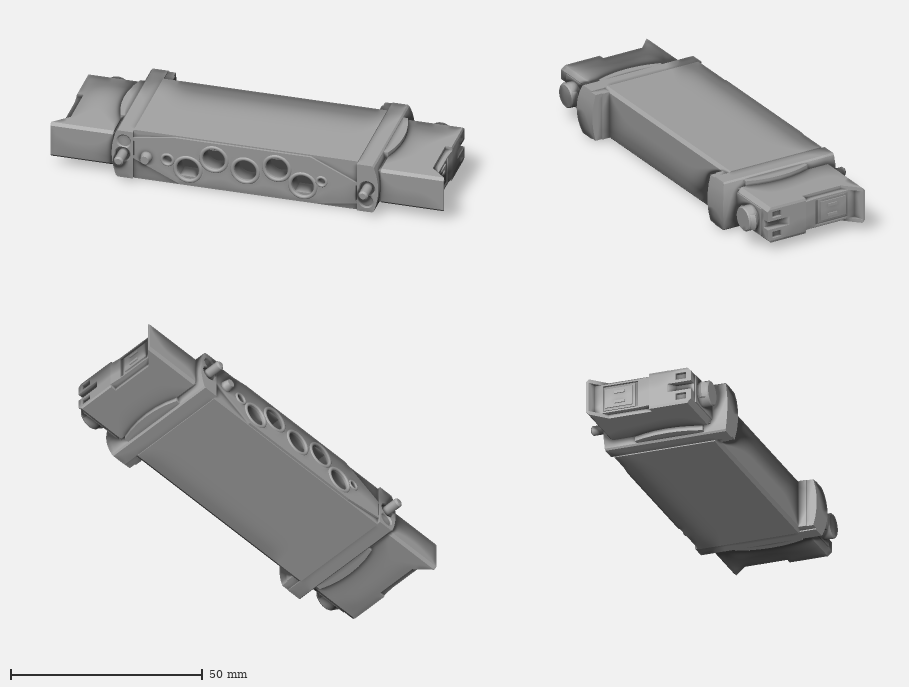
import cadquery as cq

OVERALL_LENGTH = 107.0

HOUSING_LENGTH = 61.0
HOUSING_HEIGHT = 14.4
HOUSING_FRONT = 1.0
HOUSING_BACK = 29.9
HOUSING_BACK_CHAMFER = 0.9

GASKET_THICKNESS = 0.6
GASKET_HALF_HEIGHT = 6.8
GASKET_FRONT = HOUSING_FRONT - GASKET_THICKNESS
GASKET_HALF_LENGTH = HOUSING_LENGTH / 2
GASKET_STEEP_CORNER = (17.8, 1.0)
GASKET_FLAT_CORNER = (19.3, 5.1)
GASKET_NOTCH_DEPTH = 0.4
GASKET_NOTCH_BOTTOM = -0.3
GASKET_NOTCH_TOP = 4.3

PORT_OUTER_X = 15.6
PORT_INNER_X = 8.6
PORT_OFFSET_Z = 2.0
PORTS = [
    (-PORT_OUTER_X, -PORT_OFFSET_Z),
    (-PORT_INNER_X, PORT_OFFSET_Z),
    (0, 0),
    (PORT_INNER_X, PORT_OFFSET_Z),
    (PORT_OUTER_X, -PORT_OFFSET_Z),
]
PORT_DIAMETER = 6.0
PORT_BORE_DIAMETER = 6.5
PORT_LIP_DIAMETER = 8.0
PORT_DEPTH = 5.4
PORT_HALF_HEIGHT = 4.4
PILOT_DEPTH = 3.2
LEFT_PILOT_X = -21.2
LEFT_PILOT_DIAMETER = 2.2
LEFT_PILOT_LIP_DIAMETER = 3.9
RIGHT_PILOT_X = 20.8
RIGHT_PILOT_DIAMETER = 1.8
RIGHT_PILOT_LIP_DIAMETER = 3.3
LIP_HEIGHT = 0.3

LOCATING_PIN_X = -26.9
LOCATING_PIN_BASE = 3.2
LOCATING_PIN_TIP = 2.2
LOCATING_PIN_END = -1.7

HEAD_HEIGHT = 13.9
HEAD_OUTER_X = 36.3
HEAD_EDGE_X = 35.1
HEAD_EDGE_CHAMFER = 0.4
HEAD_BACK = 34.9
HEAD_EDGE_BACK = 33.8
EAR_INNER_X = 28.5
EAR_HALF_HEIGHT = 6.6
EAR_STEP_X = 28.1
EAR_STEP_BACK = 32.0

SCREW_X = 33.3
SCREW_DIAMETER = 2.6
SCREW_TIP = -4.3
SCREW_TOP = HOUSING_BACK
SCREW_TIP_CHAMFER = 0.4
SCREW_RECESS_DIAMETER = 3.9
SCREW_RECESS_DEPTH = 1.1
RECESS_CHAMFER = 0.3

PLUG_X = 33.0
PLUG_Z = 3.9
PLUG_MOUTH_DIAMETER = 4.1
PLUG_FLOOR_DIAMETER = 3.2
PLUG_DEPTH = 0.4

BULGE_HALF_HEIGHT = 6.4
BULGE_FRONT = 9.0
BULGE_BACK = 27.9
BULGE_EDGE_X = 36.4
BULGE_CROWN_X = 38.1

BOX_HEIGHT = 10.2
BOX_HALF_HEIGHT = BOX_HEIGHT / 2
BOX_FRONT = 1.9
BOX_BACK = 30.4
BOX_END_X = 51.1
END_BEVEL_DEPTH = 0.2
END_BEVEL_HEIGHT = 0.6
BOX_INNER_X = 36.4
NECK_INSET = 0.4
BOX_FRONT_CHAMFER = 0.7
BOX_BACK_CHAMFER = 1.1
LIP_TIP_X = OVERALL_LENGTH / 2
LIP_EDGE_BACK = 2.6
SLOPE_BACK = 6.6
NOTCH_X = 49.2
NOTCH_BACK = 18.6
NOTCH_HALF_GAP = 4.1
PANEL_X = 50.8
PANEL_FRONT = 3.4

WINDOW_FRONT = 5.6
WINDOW_BACK = 15.4
WINDOW_HALF_HEIGHT = 3.6
WINDOW_DEPTH = 0.6
FRAME_BACK = 14.4
FRAME_HALF_HEIGHT = 3.3
FRAME_HEIGHT = 0.3
BUTTON_FRONT = 6.1
BUTTON_BACK = 13.8
BUTTON_HALF_HEIGHT = 2.7
BAR_FRONT = 8.9
BAR_BACK = 11.8
BAR_Z = 1.4
BAR_HEIGHT = 0.7
POCKET_FRONT = 26.1
POCKET_BACK = 29.0
POCKET_Z = 2.9
POCKET_HEIGHT = 1.8
POCKET_DEPTH = 1.1
CHANNEL_HALF_HEIGHT = 1.2
CHANNEL_DEPTH = 2.1
CHANNEL_FLOOR_FRONT = 25.7
CHANNEL_MOUTH_FRONT = 23.6

KNOB_X = 44.0
KNOB_DIAMETER = 6.7
KNOB_TOP = 33.6
KNOB_CHAMFER = 0.3
LUG_DIAMETER = 8.1
LUG_FOOT_Y = 30.9
LUG_CREST_Y = 32.0
LUG_TOP_Y = 33.1
LUG_HALF_WIDTH = 2.1
PAD_BACK = 30.7
PAD_OUTER_X = 48.2
PAD_HALF_HEIGHT = 3.9


def block(x0, x1, y0, y1, z0, z1):
    """Box between two opposite corners."""
    return cq.Workplane("XY").box(x1 - x0, y1 - y0, z1 - z0, centered=False).translate((x0, y0, z0))


def rod(x, z, diameter, y0, y1):
    """Cylinder along Y."""
    return cq.Workplane("XZ", origin=(x, y0, z)).circle(diameter / 2).extrude(y0 - y1)


def cone(x, z, diameter0, y0, diameter1, y1):
    """Cone frustum along Y, from diameter0 at y0 to diameter1 at y1."""
    profile = [(0, y0), (diameter0 / 2, y0), (diameter1 / 2, y1), (0, y1)]
    return cq.Workplane("XY").polyline(profile).close().revolve(360, (0, 0), (0, 1)).translate((x, 0, z))


def make_head():
    """Left head: rounded toward -X and +Y, with an ear that reaches behind the housing."""
    half = HEAD_HEIGHT / 2
    edge_z = half - HEAD_EDGE_CHAMFER
    inner = HOUSING_LENGTH / 2
    end_round = (
        cq.Workplane("XZ")
        .moveTo(-EAR_STEP_X, -half)
        .lineTo(-HEAD_EDGE_X + HEAD_EDGE_CHAMFER, -half)
        .lineTo(-HEAD_EDGE_X, -edge_z)
        .threePointArc((-HEAD_OUTER_X, 0), (-HEAD_EDGE_X, edge_z))
        .lineTo(-HEAD_EDGE_X + HEAD_EDGE_CHAMFER, half)
        .lineTo(-EAR_STEP_X, half)
        .close()
        .extrude(-HEAD_BACK)
    )
    back_round = (
        cq.Workplane("YZ", origin=(-HEAD_OUTER_X, 0, 0))
        .moveTo(0, -half)
        .lineTo(HEAD_EDGE_BACK, -half)
        .threePointArc((HEAD_BACK, 0), (HEAD_EDGE_BACK, half))
        .lineTo(0, half)
        .close()
        .extrude(HEAD_OUTER_X)
    )
    column = block(-HEAD_OUTER_X, -inner, 0, HEAD_BACK, -half, half)
    ear = block(-inner, -EAR_INNER_X, HOUSING_BACK, HEAD_BACK, -EAR_HALF_HEIGHT, EAR_HALF_HEIGHT)
    step = block(-inner, -EAR_STEP_X, HOUSING_BACK, EAR_STEP_BACK, -EAR_HALF_HEIGHT, EAR_HALF_HEIGHT)
    return column.union(ear).union(step).intersect(end_round).intersect(back_round)


def make_bulge():
    """Crowned plate between the left head and its coil box."""
    return (
        cq.Workplane("XY", origin=(0, 0, -BULGE_HALF_HEIGHT))
        .moveTo(-HEAD_EDGE_X, BULGE_FRONT)
        .lineTo(-BULGE_EDGE_X, BULGE_FRONT)
        .threePointArc((-BULGE_CROWN_X, (BULGE_FRONT + BULGE_BACK) / 2), (-BULGE_EDGE_X, BULGE_BACK))
        .lineTo(-HEAD_EDGE_X, BULGE_BACK)
        .close()
        .extrude(2 * BULGE_HALF_HEIGHT)
    )


def make_knob():
    """Round knob with a pointed lug on its -X and +X sides."""
    body = rod(0, 0, KNOB_DIAMETER, BOX_BACK, KNOB_TOP).faces(">Y").chamfer(KNOB_CHAMFER)
    lug_profile = [
        (0, LUG_FOOT_Y),
        (KNOB_DIAMETER / 2, LUG_FOOT_Y),
        (LUG_DIAMETER / 2, LUG_CREST_Y),
        (KNOB_DIAMETER / 2, LUG_TOP_Y),
        (0, LUG_TOP_Y),
    ]
    lug_ring = cq.Workplane("XY").polyline(lug_profile).close().revolve(360, (0, 0), (0, 1))
    lug_width = block(
        -LUG_DIAMETER / 2, LUG_DIAMETER / 2, LUG_FOOT_Y, LUG_TOP_Y, -LUG_HALF_WIDTH, LUG_HALF_WIDTH
    )
    return body.union(lug_ring.intersect(lug_width)).translate((-KNOB_X, 0, 0))


def make_neck():
    """Slightly slimmer neck that joins the left coil box to the head."""
    half_height = BOX_HALF_HEIGHT - NECK_INSET
    return block(
        -BOX_INNER_X, -HEAD_EDGE_X, BOX_FRONT + NECK_INSET, BOX_BACK - NECK_INSET, -half_height, half_height
    )


def shape_panel(box):
    """Fill the middle of the end notch with the panel, clear the lip in front of it, and cut the window."""
    panel = block(-BOX_END_X, -NOTCH_X, LIP_EDGE_BACK, NOTCH_BACK, -NOTCH_HALF_GAP, NOTCH_HALF_GAP)
    clearance = (
        cq.Workplane("XY", origin=(0, 0, -NOTCH_HALF_GAP))
        .moveTo(-LIP_TIP_X, LIP_EDGE_BACK)
        .lineTo(-PANEL_X, PANEL_FRONT)
        .lineTo(-PANEL_X, WINDOW_BACK)
        .lineTo(-BOX_END_X, NOTCH_BACK)
        .lineTo(-LIP_TIP_X, NOTCH_BACK)
        .close()
        .extrude(2 * NOTCH_HALF_GAP)
    )
    floor_x = -PANEL_X + WINDOW_DEPTH
    window = block(-PANEL_X, floor_x, WINDOW_FRONT, WINDOW_BACK, -WINDOW_HALF_HEIGHT, WINDOW_HALF_HEIGHT)
    frame = block(
        floor_x - FRAME_HEIGHT, floor_x, WINDOW_FRONT, FRAME_BACK, -FRAME_HALF_HEIGHT, FRAME_HALF_HEIGHT
    )
    button = block(-PANEL_X, floor_x, BUTTON_FRONT, BUTTON_BACK, -BUTTON_HALF_HEIGHT, BUTTON_HALF_HEIGHT)
    return box.union(panel).cut(clearance).cut(window).union(frame).union(button)


def make_box():
    """Left coil box with its flared front lip, end panel details and knob."""
    outline = [
        (-BOX_INNER_X, BOX_FRONT),
        (-LIP_TIP_X, BOX_FRONT),
        (-LIP_TIP_X, LIP_EDGE_BACK),
        (-NOTCH_X, SLOPE_BACK),
        (-NOTCH_X, NOTCH_BACK),
        (-BOX_END_X, NOTCH_BACK),
        (-BOX_END_X, BOX_BACK),
        (-BOX_INNER_X, BOX_BACK),
    ]
    box = (
        cq.Workplane("XY", origin=(0, 0, -BOX_HALF_HEIGHT))
        .polyline(outline)
        .close()
        .extrude(BOX_HEIGHT)
    )
    box = box.faces("<Y").edges("|X").chamfer(BOX_FRONT_CHAMFER)
    box = box.faces(">Y").edges("|X").chamfer(BOX_BACK_CHAMFER)
    box = shape_panel(box)

    channel = (
        cq.Workplane("XY", origin=(0, 0, -CHANNEL_HALF_HEIGHT))
        .moveTo(-BOX_END_X, CHANNEL_MOUTH_FRONT)
        .lineTo(-BOX_END_X + CHANNEL_DEPTH, CHANNEL_FLOOR_FRONT)
        .lineTo(-BOX_END_X + CHANNEL_DEPTH, BOX_BACK)
        .lineTo(-BOX_END_X, BOX_BACK)
        .close()
        .extrude(2 * CHANNEL_HALF_HEIGHT)
    )
    box = box.cut(channel)
    for side in (-1, 1):
        bevel = (
            cq.Workplane("XZ", origin=(0, NOTCH_BACK, 0))
            .moveTo(-BOX_END_X, side * BOX_HALF_HEIGHT)
            .lineTo(-BOX_END_X + END_BEVEL_DEPTH, side * BOX_HALF_HEIGHT)
            .lineTo(-BOX_END_X, side * (BOX_HALF_HEIGHT - END_BEVEL_HEIGHT))
            .close()
            .extrude(NOTCH_BACK - BOX_BACK)
        )
        box = box.cut(bevel)
        bar_z = side * BAR_Z
        pocket_z = side * POCKET_Z
        box = box.union(
            block(-BOX_END_X, -PANEL_X, BAR_FRONT, BAR_BACK, bar_z - BAR_HEIGHT / 2, bar_z + BAR_HEIGHT / 2)
        )
        box = box.cut(
            block(
                -BOX_END_X,
                -BOX_END_X + POCKET_DEPTH,
                POCKET_FRONT,
                POCKET_BACK,
                pocket_z - POCKET_HEIGHT / 2,
                pocket_z + POCKET_HEIGHT / 2,
            )
        )
    pad = block(-PAD_OUTER_X, -BOX_INNER_X, BOX_BACK, PAD_BACK, -PAD_HALF_HEIGHT, PAD_HALF_HEIGHT)
    return box.union(make_neck()).union(pad).union(make_knob())


def make_left_end():
    """Head, bulge and coil box on the left, with the recesses in the mounting face of the head."""
    end = make_head().union(make_bulge()).union(make_box())
    end = end.cut(cone(-PLUG_X, PLUG_Z, PLUG_MOUTH_DIAMETER, 0, PLUG_FLOOR_DIAMETER, PLUG_DEPTH))
    end = end.cut(rod(-SCREW_X, 0, SCREW_RECESS_DIAMETER, 0, SCREW_RECESS_DEPTH))
    mouth = SCREW_RECESS_DIAMETER + 2 * RECESS_CHAMFER
    end = end.cut(cone(-SCREW_X, 0, mouth, 0, SCREW_RECESS_DIAMETER, RECESS_CHAMFER))
    return end.cut(rod(-SCREW_X, 0, SCREW_DIAMETER, 0, SCREW_TOP))


def make_housing():
    """Housing block with an identical end at each side, the port bores and the locating pin."""
    half_length = HOUSING_LENGTH / 2
    half_height = HOUSING_HEIGHT / 2
    housing = block(-half_length, half_length, HOUSING_FRONT, HOUSING_BACK, -half_height, half_height)
    housing = housing.faces(">Y").edges("|X").chamfer(HOUSING_BACK_CHAMFER)
    left_end = make_left_end()
    housing = housing.union(left_end).union(left_end.rotate((0, 0, 0), (0, 1, 0), 180))

    bore_end = GASKET_FRONT + PORT_DEPTH
    flats = block(-half_length, half_length, 0, bore_end, -PORT_HALF_HEIGHT, PORT_HALF_HEIGHT)
    for x, z in PORTS:
        housing = housing.cut(rod(x, z, PORT_BORE_DIAMETER, HOUSING_FRONT, bore_end).intersect(flats))
    for x, diameter in ((LEFT_PILOT_X, LEFT_PILOT_DIAMETER), (RIGHT_PILOT_X, RIGHT_PILOT_DIAMETER)):
        housing = housing.cut(rod(x, 0, diameter, HOUSING_FRONT, HOUSING_FRONT + PILOT_DEPTH))

    pin_root = rod(LOCATING_PIN_X, 0, LOCATING_PIN_BASE, GASKET_FRONT, HOUSING_FRONT)
    pin = cone(LOCATING_PIN_X, 0, LOCATING_PIN_BASE, GASKET_FRONT, LOCATING_PIN_TIP, LOCATING_PIN_END)
    return housing.union(pin_root).union(pin)


def make_lip(x, z, bore, outer):
    """Rounded ring that stands on the gasket around one opening."""
    lip = (
        cq.Workplane("XY")
        .moveTo(bore / 2, HOUSING_FRONT)
        .lineTo(bore / 2, GASKET_FRONT)
        .threePointArc(((bore + outer) / 4, GASKET_FRONT - LIP_HEIGHT), (outer / 2, GASKET_FRONT))
        .lineTo(outer / 2, HOUSING_FRONT)
        .close()
        .revolve(360, (0, 0), (0, 1))
    )
    return lip.translate((x, 0, z))


def make_gasket():
    """Gasket plate with slanted corners and a raised, rounded lip around each opening."""
    steep_x, steep_z = GASKET_STEEP_CORNER
    flat_x, flat_z = GASKET_FLAT_CORNER
    half_outline = [
        (-GASKET_HALF_LENGTH, -steep_z),
        (-GASKET_HALF_LENGTH, flat_z),
        (-flat_x, GASKET_HALF_HEIGHT),
        (steep_x, GASKET_HALF_HEIGHT),
    ]
    outline = half_outline + [(-x, -z) for x, z in half_outline]
    gasket = (
        cq.Workplane("XZ", origin=(0, HOUSING_FRONT, 0)).polyline(outline).close().extrude(GASKET_THICKNESS)
    )
    notch = block(
        -GASKET_HALF_LENGTH,
        -GASKET_HALF_LENGTH + GASKET_NOTCH_DEPTH,
        GASKET_FRONT,
        HOUSING_FRONT,
        GASKET_NOTCH_BOTTOM,
        GASKET_NOTCH_TOP,
    )
    gasket = gasket.cut(notch).cut(notch.rotate((0, 0, 0), (0, 1, 0), 180))

    openings = [(x, z, PORT_DIAMETER, PORT_LIP_DIAMETER) for x, z in PORTS]
    openings.append((LEFT_PILOT_X, 0, LEFT_PILOT_DIAMETER, LEFT_PILOT_LIP_DIAMETER))
    openings.append((RIGHT_PILOT_X, 0, RIGHT_PILOT_DIAMETER, RIGHT_PILOT_LIP_DIAMETER))
    for x, z, bore, lip in openings:
        gasket = gasket.union(make_lip(x, z, bore, lip))
    for x, z, bore, _ in openings:
        gasket = gasket.cut(rod(x, z, bore, GASKET_FRONT - LIP_HEIGHT, HOUSING_FRONT))
    return gasket.cut(rod(LOCATING_PIN_X, 0, LOCATING_PIN_BASE, GASKET_FRONT, HOUSING_FRONT))


def make_screw(x):
    """Screw along Y whose tip stands out of the mounting face."""
    return rod(x, 0, SCREW_DIAMETER, SCREW_TIP, SCREW_TOP).faces("<Y").chamfer(SCREW_TIP_CHAMFER)


housing = make_housing()
gasket = make_gasket()
screws = [make_screw(side * SCREW_X) for side in (-1, 1)]

result = cq.Compound.makeCompound([housing.val(), gasket.val(), *[screw.val() for screw in screws]])